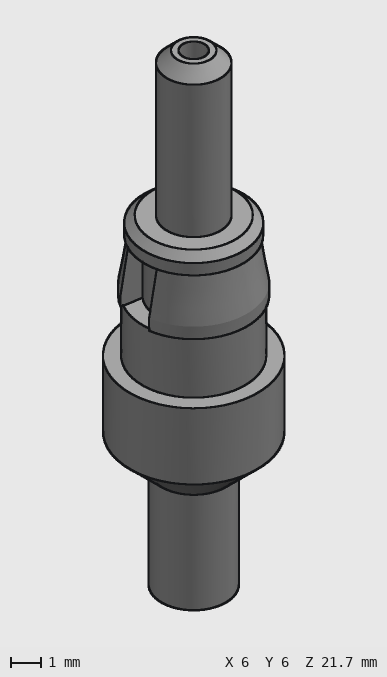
import cadquery as cq

tail_radius = 1.5
collar_radius = 3.0
sleeve_radius = 2.4
core_radius = 1.7
head_radius = 2.3
pin_radius = 1.25
bore_radius = 0.5

tail_top = 4.7
collar_bottom = tail_top + collar_radius - tail_radius
collar_top = 9.3
sleeve_top = 11.75
head_bottom = 14.2
head_top = 15.0
pin_top = 21.7

head_chamfer_width = 0.35
head_chamfer_height = 0.3
pin_chamfer = 0.5

clip_lower_radius = 2.5
clip_upper_radius = 2.2
clip_band_height = 0.5
clip_slot_width = 1.65


def revolve_profile(points):
    """Revolve an outline of (radius, height) points about the Z axis."""
    return cq.Workplane("XZ").polyline(points).close().revolve(360, (0, 0, 0), (0, 1, 0))


def make_contact():
    """Turned contact: tail, conical collar, sleeve, grooved core, head and pin."""
    return revolve_profile([
        (bore_radius, 0),
        (tail_radius, 0),
        (tail_radius, tail_top),
        (collar_radius, collar_bottom),
        (collar_radius, collar_top),
        (sleeve_radius, collar_top),
        (sleeve_radius, sleeve_top),
        (core_radius, sleeve_top),
        (core_radius, head_bottom),
        (head_radius, head_bottom),
        (head_radius, head_top - head_chamfer_height),
        (head_radius - head_chamfer_width, head_top),
        (pin_radius, head_top),
        (pin_radius, pin_top - pin_chamfer),
        (pin_radius - pin_chamfer, pin_top),
        (bore_radius, pin_top),
    ])


def make_clip():
    """Tapered ring with a straight band at its foot, split on the -Y side."""
    ring = revolve_profile([
        (core_radius, sleeve_top),
        (clip_lower_radius, sleeve_top),
        (clip_lower_radius, sleeve_top + clip_band_height),
        (clip_upper_radius, head_bottom),
        (core_radius, head_bottom),
    ])
    slot = (
        cq.Workplane("XY", origin=(0, -collar_radius / 2, sleeve_top))
        .rect(clip_slot_width, collar_radius)
        .extrude(head_bottom - sleeve_top)
    )
    return ring.cut(slot)


result = make_contact().union(make_clip())